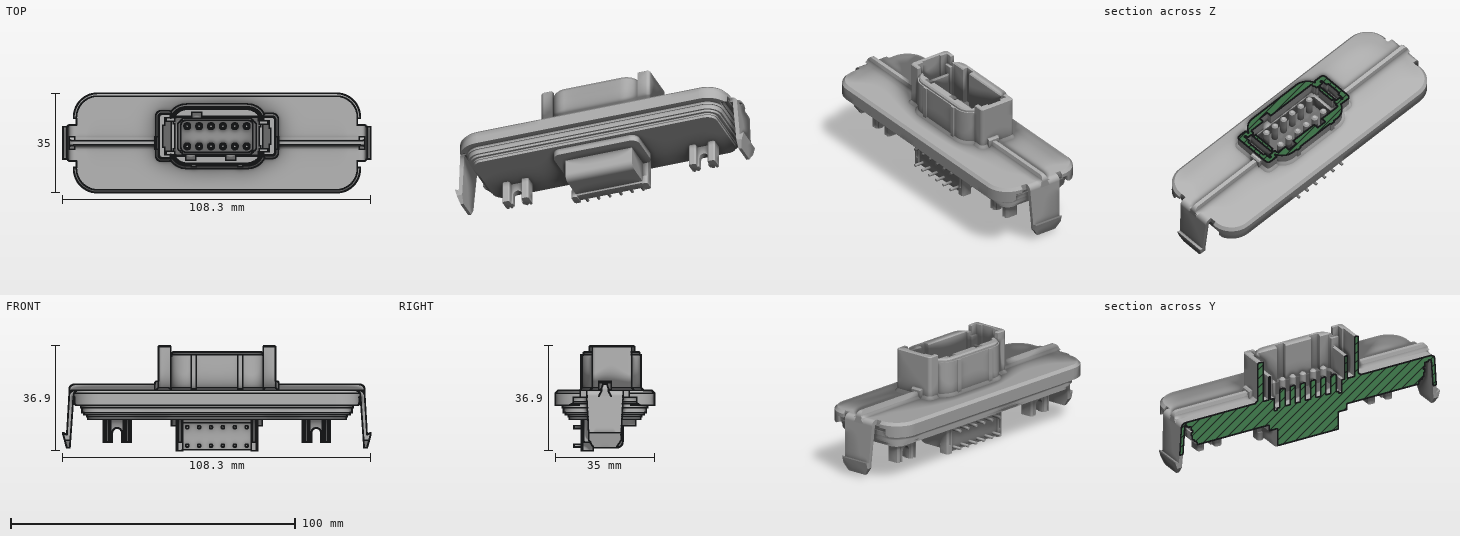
import cadquery as cq
import math


FLANGE_LENGTH = 100.8
FLANGE_WIDTH = 35.0
FLANGE_THICKNESS = 5.2
FLANGE_CORNER_RADIUS = 8.5
FLANGE_EDGE_CHAMFER = 1.0
FLANGE_BOTTOM = -FLANGE_THICKNESS
SKIRT_TIERS = [(2.5, 0.9), (2.9, 1.7), (3.6, 0.8), (4.6, 0.6), (4.9, 0.95)]
SKIRT_BOTTOM = FLANGE_BOTTOM - sum(height for _, height in SKIRT_TIERS)

RELIEF_DEPTH = 1.0
RELIEF_WIDTH = 17.2
UNDERCUT_WIDTH = 22.4
UNDERCUT_DEPTH = 2.5
UNDERCUT_TOP = -2.3
UNDERCUT_FLARE = 1.3
UNDERCUT_FLARE_HEIGHT = 0.7
UNDERCUT_GROOVE_TOP = -3.9
UNDERCUT_GROOVE_HEIGHT = 0.7
UNDERCUT_GROOVE_DEPTH = 0.6

OVERALL_LENGTH = 108.31
HOOK_TIP_X = OVERALL_LENGTH / 2
HOOK_TIP_Z = -14.8
HOOK_TIP_FLAT = 0.5
HOOK_BOTTOM = -20.2
HOOK_NECK_X = 52.8
HOOK_NECK_Z = -15.5
HOOK_TOE_X = 51.7
ARM_OUTER_X = 52.0
ARM_INNER_X = 50.4
ARM_BEND_RADIUS = 2.0
ARM_STRAP_THICKNESS = 1.8
ARM_ROOT_X = 48.5
ARM_TOP_WIDTH = 12.8
ARM_NECK_WIDTH = 11.4
HOOK_SIDE_Z = -17.5
HOOK_END_WIDTH = 7.8

RIB_BASE_WIDTH = 4.3
RIB_SHOULDER_WIDTH = 2.2
RIB_TOP_WIDTH = 1.4
RIB_SHOULDER_HEIGHT = 1.0
RIB_HEIGHT = 2.2
RIB_GUSSET_DEPTH = 2.0
RIB_SIDE_RADIUS = 1.15
RIB_BLOCK_HEIGHT = 3.3
RIB_BLOCK_REACH = 1.2

SHROUD_LENGTH = 33.0
SHROUD_BACK = 12.7
SHROUD_FRONT = -8.0
SHROUD_CORNER_RADIUS = 5.8
SHROUD_HEIGHT = 13.7
SHROUD_LIP_HEIGHT = 1.2
SHROUD_LIP_INSET = 0.4
SHROUD_LIP_CHAMFER = 0.5
BASE_FLARE = 1.0
GRIP_RIB_X = 8.15
GRIP_RIB_WIDTH = 1.7
GRIP_RIB_DEPTH = 0.45
GRIP_RIB_BOTTOM = 0.3

TOWER_OUTER_X = 20.6
TOWER_INNER_X = 16.2
TOWER_HEIGHT = 15.65
TOWER_CENTRE_Y = 2.45
LEFT_TOWER_WIDTH = 15.9
RIGHT_TOWER_WIDTH = 13.9
TOWER_CORNER_RADIUS = 1.2
TOWER_RIM_CHAMFER = 0.3

CAVITY_LENGTH = 29.0
CAVITY_BACK = 9.0
CAVITY_FRONT = -4.3
CAVITY_LEDGE = 0.0
CAVITY_FLOOR = -5.0
CAVITY_RIM_CHAMFER = 0.4
WELL_END_INSET = 0.7
WELL_SIDE_INSET = 0.4
WELL_CORNER_CHAMFER = 1.8
CAVITY_CENTRE_Y = (CAVITY_BACK + CAVITY_FRONT) / 2
KEYWAY_DEPTH = 1.8
BACK_KEYWAY_X = -7.1
FRONT_KEYWAYS_X = (-9.2, 4.85)
KEYWAY_WIDTH = 3.6
PLINTH_LENGTH = 25.3
PLINTH_WIDTH = 11.1
PLINTH_HEIGHT = 0.8
PLINTH_CORNER_RADIUS = 1.5
POCKET_OUTER_X = 19.0
POCKET_STEP_X = 18.3
LEFT_POCKET_WIDTH = 12.9
RIGHT_POCKET_WIDTH = 10.8
POCKET_STEP_INSET = 2.6
LATCH_TONGUE_INNER_X = 14.85
LATCH_TONGUE_OUTER_X = 16.15
LATCH_TONGUE_TOP = 9.0
LATCH_SLIT_WIDTH = 0.9
LATCH_SLIT_DEPTH = 0.6
GUIDE_THICKNESS = 1.1
GUIDE_OUTER_X = 17.8
GUIDE_TOP = 12.0

CONTACT_COUNT = 6
CONTACT_PITCH = 4.18
CONTACT_ROWS_Y = (5.9, -1.2)
CONTACT_DIAMETER = 2.3
CONTACT_TIP_CHAMFER = 0.55
CONTACT_TOP = 3.0
TAIL_DIAMETER = 1.05
TAIL_ROWS_Z = (-12.9, -19.4)
TAIL_END_Y = -10.9

HOUSING_WIDTH = 25.0
HOUSING_BACK = 6.35
HOUSING_FACE_Y = -7.4
HOUSING_BROW_Y = -8.0
HOUSING_BROW_BOTTOM = -11.4
HOUSING_FRONT_WALL_Y = -4.2
HOUSING_BOTTOM = -20.2
HOUSING_FRONT_BOTTOM = -20.9
HOUSING_BACK_RADIUS = 2.4
SIDE_POST_INNER_X = 12.05
SIDE_POST_OUTER_X = 14.35
SIDE_POST_FRONT = -8.3
SIDE_POST_BACK = -5.0
SIDE_FOOT_BACK = -4.1
SIDE_FOOT_TOP = -18.2
OVERALL_HEIGHT = 36.91
PART_BOTTOM = TOWER_HEIGHT - OVERALL_HEIGHT
SIDE_POST_GROOVE_X = 13.0
SIDE_POST_GROOVE = 0.9
SIDE_POST_CHAMFER = 0.5
SIDE_FOOT_RADIUS = 0.9
COLLAR_LENGTH = 32.0
COLLAR_BACK = 10.9
COLLAR_FRONT = -5.5
COLLAR_BOTTOM = -12.45
COLLAR_CORNER_RADIUS = 2.9

FEET_X = (-35.1, 34.9)
FOOT_WIDTH = 9.8
FOOT_BOTTOM = -18.2
FOOT_FRONT = -8.0
FOOT_BACK = -2.9
FOOT_PILLAR_WIDTH = 2.7
FOOT_CORNER_CHAMFER = 0.5
FOOT_GROOVE = 0.7
FOOT_WEB_FRONT = -7.2
FOOT_WEB_BACK = -5.2
FOOT_SLOT_WIDTH = 3.3
FOOT_SLOT_TOP = -13.2

SIDES = (-1, 1)


def block(x_range, y_range, z_range):
    """Axis-aligned block spanning three (low, high) ranges."""
    spans = [sorted(limits) for limits in (x_range, y_range, z_range)]
    sizes = [high - low for low, high in spans]
    corner = tuple(low for low, _ in spans)
    return cq.Workplane("XY").box(*sizes, centered=False).translate(corner)


def rounded_block(x_range, y_range, z_range, radius):
    return block(x_range, y_range, z_range).edges("|Z").fillet(radius)


def side_range(side, inner, outer):
    return (side * inner, side * outer)


def centred(middle, width):
    return (middle - width / 2, middle + width / 2)


def make_flange():
    flange = rounded_block(
        centred(0, FLANGE_LENGTH), centred(0, FLANGE_WIDTH), (FLANGE_BOTTOM, 0), FLANGE_CORNER_RADIUS
    )
    flange = flange.faces(">Z").edges().chamfer(FLANGE_EDGE_CHAMFER)
    end_x = FLANGE_LENGTH / 2
    half_undercut = UNDERCUT_WIDTH / 2
    half_flare = half_undercut + UNDERCUT_FLARE
    flare_top = FLANGE_BOTTOM + UNDERCUT_FLARE_HEIGHT
    undercut_outline = [
        (-half_undercut, UNDERCUT_TOP),
        (half_undercut, UNDERCUT_TOP),
        (half_undercut, flare_top),
        (half_flare, FLANGE_BOTTOM),
        (-half_flare, FLANGE_BOTTOM),
        (-half_undercut, flare_top),
    ]
    undercut_bar = cq.Workplane("YZ").polyline(undercut_outline).close().extrude(UNDERCUT_DEPTH)
    for side in SIDES:
        relief_x = side_range(side, end_x - RELIEF_DEPTH, end_x)
        flange = flange.cut(block(relief_x, centred(0, RELIEF_WIDTH), (FLANGE_BOTTOM, 0)))
        start = end_x - UNDERCUT_DEPTH if side > 0 else -end_x
        flange = flange.cut(undercut_bar.translate((start, 0, 0)))
        groove = block(
            side_range(side, end_x - UNDERCUT_DEPTH - UNDERCUT_GROOVE_DEPTH, end_x - UNDERCUT_DEPTH),
            centred(0, UNDERCUT_WIDTH),
            (UNDERCUT_GROOVE_TOP - UNDERCUT_GROOVE_HEIGHT, UNDERCUT_GROOVE_TOP),
        )
        flange = flange.cut(groove)

    top = FLANGE_BOTTOM
    for inset, height in SKIRT_TIERS:
        tier = rounded_block(
            centred(0, FLANGE_LENGTH - 2 * inset),
            centred(0, FLANGE_WIDTH - 2 * inset),
            (top - height, top),
            FLANGE_CORNER_RADIUS - inset,
        )
        flange = flange.union(tier)
        top -= height
    return flange


def make_latch_arm():
    """Latch arm at the +X end: bent strap with an outward hook."""
    bend_start_x = ARM_OUTER_X - ARM_BEND_RADIUS
    bend_reach = ARM_BEND_RADIUS * math.sqrt(0.5)
    bend_mid = (bend_start_x + bend_reach, bend_reach - ARM_BEND_RADIUS)
    profile = (
        cq.Workplane("XZ")
        .moveTo(ARM_ROOT_X, 0)
        .lineTo(bend_start_x, 0)
        .threePointArc(bend_mid, (ARM_OUTER_X, -ARM_BEND_RADIUS))
        .lineTo(HOOK_NECK_X, HOOK_NECK_Z)
        .lineTo(HOOK_TIP_X, HOOK_TIP_Z)
        .lineTo(HOOK_TIP_X, HOOK_TIP_Z - HOOK_TIP_FLAT)
        .lineTo(HOOK_NECK_X, HOOK_BOTTOM)
        .lineTo(HOOK_TOE_X, HOOK_BOTTOM)
        .lineTo(ARM_INNER_X, -ARM_STRAP_THICKNESS)
        .lineTo(ARM_ROOT_X, -ARM_STRAP_THICKNESS)
        .close()
        .extrude(ARM_TOP_WIDTH / 2, both=True)
    )
    right_edge = [
        (ARM_TOP_WIDTH / 2, 0),
        (ARM_TOP_WIDTH / 2, -ARM_BEND_RADIUS),
        (ARM_NECK_WIDTH / 2, HOOK_NECK_Z),
        (ARM_NECK_WIDTH / 2, HOOK_SIDE_Z),
        (HOOK_END_WIDTH / 2, HOOK_BOTTOM),
    ]
    left_edge = [(-y, z) for y, z in reversed(right_edge)]
    outline = cq.Workplane("YZ").polyline(right_edge + left_edge).close().extrude(HOOK_TIP_X)
    return profile.intersect(outline)


def make_rib():
    """Rib with concave flanks, rounded over at the latch arms and ending in a gusset on each."""
    half_base = RIB_BASE_WIDTH / 2
    half_shoulder = RIB_SHOULDER_WIDTH / 2
    half_top = RIB_TOP_WIDTH / 2
    section = (
        cq.Workplane("YZ")
        .moveTo(-half_base, -RIB_GUSSET_DEPTH)
        .lineTo(-half_shoulder, 0)
        .lineTo(-half_base, 0)
        .radiusArc((-half_shoulder, RIB_SHOULDER_HEIGHT), -RIB_SIDE_RADIUS)
        .lineTo(-half_top, RIB_HEIGHT)
        .lineTo(half_top, RIB_HEIGHT)
        .lineTo(half_shoulder, RIB_SHOULDER_HEIGHT)
        .radiusArc((half_base, 0), -RIB_SIDE_RADIUS)
        .lineTo(half_shoulder, 0)
        .lineTo(half_base, -RIB_GUSSET_DEPTH)
        .close()
        .extrude(ARM_OUTER_X, both=True)
    )
    envelope = block(
        centred(0, 2 * ARM_OUTER_X), centred(0, RIB_BASE_WIDTH), (-RIB_GUSSET_DEPTH, RIB_HEIGHT)
    )
    envelope = envelope.edges("|Y and >Z").fillet(ARM_BEND_RADIUS)
    rib = section.intersect(envelope)
    gap_reach = FLANGE_LENGTH / 2 - RELIEF_DEPTH
    skin = (-RIB_GUSSET_DEPTH, -FLANGE_EDGE_CHAMFER)
    rib = rib.cut(block(centred(0, 2 * gap_reach), centred(0, RIB_BASE_WIDTH), skin))
    block_reach = TOWER_OUTER_X + RIB_BLOCK_REACH
    wall_block = block(centred(0, 2 * block_reach), centred(0, RIB_BASE_WIDTH), (0, RIB_BLOCK_HEIGHT))
    return rib.union(wall_block.edges("|Y and >Z").chamfer(BASE_FLARE / 2))


def foot_flare(x_range, y_range, radius):
    """Sloped skirt around the foot of a rounded block standing on the flange."""
    wide_x = (min(x_range) - BASE_FLARE, max(x_range) + BASE_FLARE)
    wide_y = (min(y_range) - BASE_FLARE, max(y_range) + BASE_FLARE)
    sunk = BASE_FLARE / 2
    skirt = rounded_block(wide_x, wide_y, (-sunk, BASE_FLARE), radius + BASE_FLARE)
    return skirt.faces(">Z").edges().chamfer(BASE_FLARE)


def make_shroud():
    shroud_y = (SHROUD_FRONT, SHROUD_BACK)
    shoulder = SHROUD_HEIGHT - SHROUD_LIP_HEIGHT
    shroud_x = centred(0, SHROUD_LENGTH)
    wall = rounded_block(shroud_x, shroud_y, (0, shoulder), SHROUD_CORNER_RADIUS)
    lip = rounded_block(
        centred(0, SHROUD_LENGTH - 2 * SHROUD_LIP_INSET),
        (SHROUD_FRONT + SHROUD_LIP_INSET, SHROUD_BACK - SHROUD_LIP_INSET),
        (shoulder, SHROUD_HEIGHT),
        SHROUD_CORNER_RADIUS - SHROUD_LIP_INSET,
    )
    lip = lip.faces(">Z").edges().chamfer(SHROUD_LIP_CHAMFER)
    shroud = wall.union(foot_flare(shroud_x, shroud_y, SHROUD_CORNER_RADIUS)).union(lip)
    for side in SIDES:
        grip_y = (SHROUD_FRONT - GRIP_RIB_DEPTH, 0)
        grip_x = centred(side * GRIP_RIB_X, GRIP_RIB_WIDTH)
        shroud = shroud.union(block(grip_x, grip_y, (GRIP_RIB_BOTTOM, shoulder)))
    for side, width in zip(SIDES, (LEFT_TOWER_WIDTH, RIGHT_TOWER_WIDTH)):
        tower_x = side_range(side, TOWER_INNER_X, TOWER_OUTER_X)
        tower_y = centred(TOWER_CENTRE_Y, width)
        outer_edges = "|Z and >X" if side > 0 else "|Z and <X"
        tower = block(tower_x, tower_y, (0, TOWER_HEIGHT)).edges(outer_edges).fillet(TOWER_CORNER_RADIUS)
        tower = tower.faces(">Z").edges().chamfer(TOWER_RIM_CHAMFER)
        shroud = shroud.union(tower).union(foot_flare(tower_x, tower_y, TOWER_CORNER_RADIUS))
    return shroud


def make_cavity():
    """Space removed from the shroud: contact well, keyways and pockets, less the latch tongues."""
    depth = (CAVITY_LEDGE, TOWER_HEIGHT)
    cavity_x = centred(0, CAVITY_LENGTH)
    cavity_y = (CAVITY_FRONT, CAVITY_BACK)
    well = block(
        centred(0, CAVITY_LENGTH - 2 * WELL_END_INSET),
        (CAVITY_FRONT + WELL_SIDE_INSET, CAVITY_BACK - WELL_SIDE_INSET),
        (CAVITY_FLOOR, CAVITY_LEDGE),
    )
    well = well.edges("|Z").chamfer(WELL_CORNER_CHAMFER)
    rim_bevel = (
        cq.Workplane("XY", origin=(0, CAVITY_CENTRE_Y, SHROUD_HEIGHT - CAVITY_RIM_CHAMFER))
        .rect(CAVITY_LENGTH, CAVITY_BACK - CAVITY_FRONT)
        .extrude(CAVITY_RIM_CHAMFER, taper=-45)
    )
    cavity = well.union(block(cavity_x, cavity_y, depth)).union(rim_bevel)
    back_keyway = (CAVITY_CENTRE_Y, CAVITY_BACK + KEYWAY_DEPTH)
    cavity = cavity.union(block(centred(BACK_KEYWAY_X, KEYWAY_WIDTH), back_keyway, depth))
    front_keyway = (CAVITY_FRONT - KEYWAY_DEPTH, CAVITY_CENTRE_Y)
    for keyway_x in FRONT_KEYWAYS_X:
        cavity = cavity.union(block(centred(keyway_x, KEYWAY_WIDTH), front_keyway, depth))
    for side, width in zip(SIDES, (LEFT_POCKET_WIDTH, RIGHT_POCKET_WIDTH)):
        step_x = side_range(side, CAVITY_LENGTH / 2, POCKET_STEP_X)
        outer_x = side_range(side, CAVITY_LENGTH / 2, POCKET_OUTER_X)
        cavity = cavity.union(block(step_x, centred(CAVITY_CENTRE_Y, width), depth))
        narrow_y = centred(CAVITY_CENTRE_Y, width - 2 * POCKET_STEP_INSET)
        cavity = cavity.union(block(outer_x, narrow_y, depth))
    plinth = rounded_block(
        centred(0, PLINTH_LENGTH),
        centred(CAVITY_CENTRE_Y, PLINTH_WIDTH),
        (CAVITY_FLOOR, CAVITY_FLOOR + PLINTH_HEIGHT),
        PLINTH_CORNER_RADIUS,
    )
    cavity = cavity.cut(plinth)
    for side, width in zip(SIDES, (LEFT_POCKET_WIDTH, RIGHT_POCKET_WIDTH)):
        tongue_x = side_range(side, LATCH_TONGUE_INNER_X, LATCH_TONGUE_OUTER_X)
        tongue_y = centred(CAVITY_CENTRE_Y, width)
        cavity = cavity.cut(block(tongue_x, tongue_y, (CAVITY_LEDGE, LATCH_TONGUE_TOP)))
        slit_x = side_range(side, LATCH_TONGUE_INNER_X, LATCH_TONGUE_INNER_X + LATCH_SLIT_DEPTH)
        slit_reach = width / 2 - GUIDE_THICKNESS
        guide_x = side_range(side, LATCH_TONGUE_INNER_X, GUIDE_OUTER_X)
        for edge in SIDES:
            guide_y = side_range(edge, width / 2 - GUIDE_THICKNESS, width / 2)
            guide = block(guide_x, guide_y, (CAVITY_LEDGE, GUIDE_TOP))
            slit_y = side_range(edge, slit_reach - LATCH_SLIT_WIDTH, slit_reach)
            slit = block(slit_x, slit_y, (CAVITY_LEDGE, LATCH_TONGUE_TOP))
            cavity = cavity.union(slit.translate((0, CAVITY_CENTRE_Y, 0)))
            cavity = cavity.cut(guide.translate((0, CAVITY_CENTRE_Y, 0)))
    return cavity


def make_contacts():
    columns = [(i - (CONTACT_COUNT - 1) / 2) * CONTACT_PITCH for i in range(CONTACT_COUNT)]
    pin_spots = [(x, y) for x in columns for y in CONTACT_ROWS_Y]
    pins = (
        cq.Workplane("XY", origin=(0, 0, CAVITY_FLOOR))
        .pushPoints(pin_spots)
        .circle(CONTACT_DIAMETER / 2)
        .extrude(CONTACT_TOP - CAVITY_FLOOR)
        .faces(">Z")
        .chamfer(CONTACT_TIP_CHAMFER)
    )
    tail_spots = [(x, z) for x in columns for z in TAIL_ROWS_Z]
    tails = (
        cq.Workplane("XZ")
        .pushPoints(tail_spots)
        .circle(TAIL_DIAMETER / 2)
        .extrude(-TAIL_END_Y)
    )
    return pins.union(tails)


def make_tail_housing():
    collar = rounded_block(
        centred(0, COLLAR_LENGTH),
        (COLLAR_FRONT, COLLAR_BACK),
        (COLLAR_BOTTOM, SKIRT_BOTTOM),
        COLLAR_CORNER_RADIUS,
    )
    width = centred(0, HOUSING_WIDTH)
    body = block(width, (HOUSING_FRONT_WALL_Y, HOUSING_BACK), (HOUSING_BOTTOM, SKIRT_BOTTOM))
    body = body.edges("|X and >Y and <Z").fillet(HOUSING_BACK_RADIUS)
    front_wall = block(
        width, (HOUSING_FACE_Y, HOUSING_FRONT_WALL_Y), (HOUSING_FRONT_BOTTOM, SKIRT_BOTTOM)
    )
    brow = block(width, (HOUSING_BROW_Y, HOUSING_FACE_Y), (HOUSING_BROW_BOTTOM, SKIRT_BOTTOM))
    housing = collar.union(body).union(front_wall).union(brow)
    for side in SIDES:
        post_x = side_range(side, SIDE_POST_INNER_X, SIDE_POST_OUTER_X)
        post = block(post_x, (SIDE_POST_FRONT, SIDE_POST_BACK), (PART_BOTTOM, SKIRT_BOTTOM))
        outer_edge = "|Z and <Y and >X" if side > 0 else "|Z and <Y and <X"
        post = post.edges(outer_edge).chamfer(SIDE_POST_CHAMFER)
        foot = block(post_x, (SIDE_POST_FRONT, SIDE_FOOT_BACK), (PART_BOTTOM, SIDE_FOOT_TOP))
        foot = foot.edges("|Z and >Y").fillet(SIDE_FOOT_RADIUS).edges(outer_edge).chamfer(SIDE_POST_CHAMFER)
        groove = block(
            centred(side * SIDE_POST_GROOVE_X, SIDE_POST_GROOVE),
            (SIDE_POST_FRONT, SIDE_POST_FRONT + SIDE_POST_GROOVE),
            (SIDE_FOOT_TOP, SKIRT_BOTTOM),
        )
        housing = housing.union(post).union(foot).cut(groove)
    return housing


def make_foot():
    """Board foot centred on X = 0: two grooved pillars joined by a web with an arched slot."""
    height = (FOOT_BOTTOM, SKIRT_BOTTOM)
    foot = block(centred(0, FOOT_WIDTH), (FOOT_WEB_FRONT, FOOT_WEB_BACK), height)
    for side in SIDES:
        pillar_x = side_range(side, FOOT_WIDTH / 2 - FOOT_PILLAR_WIDTH, FOOT_WIDTH / 2)
        pillar = block(pillar_x, (FOOT_FRONT, FOOT_BACK), height)
        pillar = pillar.edges("|Z").chamfer(FOOT_CORNER_CHAMFER)
        groove_x = centred(sum(pillar_x) / 2, FOOT_GROOVE)
        groove = block(groove_x, (FOOT_FRONT, FOOT_FRONT + FOOT_GROOVE), height)
        foot = foot.union(pillar).cut(groove)
    arch_z = FOOT_SLOT_TOP - FOOT_SLOT_WIDTH / 2
    slot = block(centred(0, FOOT_SLOT_WIDTH), (FOOT_FRONT, FOOT_BACK), (FOOT_BOTTOM, arch_z))
    arch = (
        cq.Workplane("XZ", origin=(0, FOOT_BACK, arch_z))
        .circle(FOOT_SLOT_WIDTH / 2)
        .extrude(FOOT_BACK - FOOT_FRONT)
    )
    return foot.cut(slot).cut(arch)


arm = make_latch_arm()
foot = make_foot()

result = make_flange().union(arm).union(arm.mirror("YZ")).union(make_rib())
result = result.union(make_shroud()).union(make_tail_housing())
for foot_x in FEET_X:
    result = result.union(foot.translate((foot_x, 0, 0)))
result = result.cut(make_cavity()).union(make_contacts()).clean()